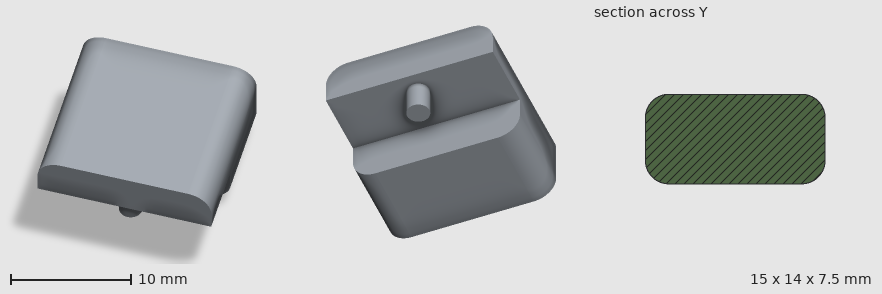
import cadquery as cq

width = 15.0
length = 14.0
height = 7.5
corner_radius = 2.0

step_length = 6.0
step_height = height / 2

pin_diameter = 2.0
pin_drop = 2.5
pin_setback = 2.0


def rounded_block():
    """Block centred on the origin, with its four long edges rounded."""
    return cq.Workplane("XY").box(width, length, height).edges("|Y").fillet(corner_radius)


def front_step():
    """Volume removed from the lower front of the block."""
    return (
        cq.Workplane("XY")
        .box(width, step_length, step_height, centered=(True, False, False))
        .translate((0, -length / 2, -height / 2))
    )


def pin():
    """Vertical pin whose top meets the underside of the step."""
    step_underside = step_height - height / 2
    return (
        cq.Workplane("XY", origin=(0, -length / 2 + pin_setback, step_underside))
        .circle(pin_diameter / 2)
        .extrude(-pin_drop)
    )


result = rounded_block().cut(front_step()).union(pin())